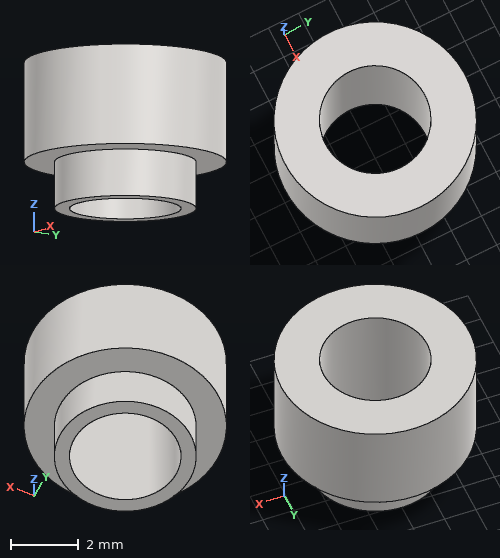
import cadquery as cq

body_diameter = 6.0
spigot_diameter = 4.2
bore_diameter = 3.3
total_height = 4.4
body_height = 3.0
spigot_height = total_height - body_height

spigot = cq.Workplane("XY").circle(spigot_diameter / 2).extrude(spigot_height)

body = (
    cq.Workplane("XY")
    .workplane(offset=spigot_height)
    .circle(body_diameter / 2)
    .extrude(body_height)
)

bore = cq.Workplane("XY").circle(bore_diameter / 2).extrude(total_height)

result = spigot.union(body).cut(bore)